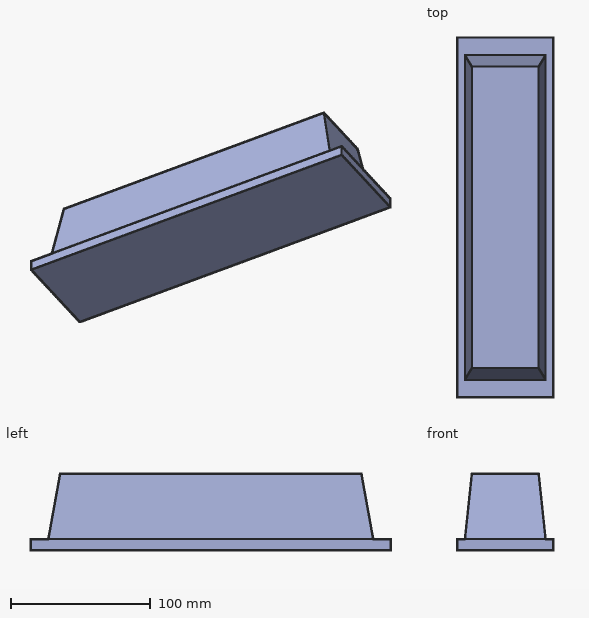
import cadquery as cq

plate_width = 69.0
plate_length = 258.0
plate_thickness = 8.0

total_height = 55.0
body_height = total_height - plate_thickness
body_bottom_width = 58.0
body_bottom_length = 233.0
body_top_width = 48.0
body_top_length = 216.0


def make_plate():
    """Flat rectangular plate with its underside at Z = 0."""
    return cq.Workplane("XY").box(
        plate_width, plate_length, plate_thickness, centered=(True, True, False)
    )


def make_body():
    """Solid block whose four sides lean inward toward the top."""
    return (
        cq.Workplane("XY")
        .workplane(offset=plate_thickness)
        .rect(body_bottom_width, body_bottom_length)
        .workplane(offset=body_height)
        .rect(body_top_width, body_top_length)
        .loft(ruled=True)
    )


result = make_plate().union(make_body())